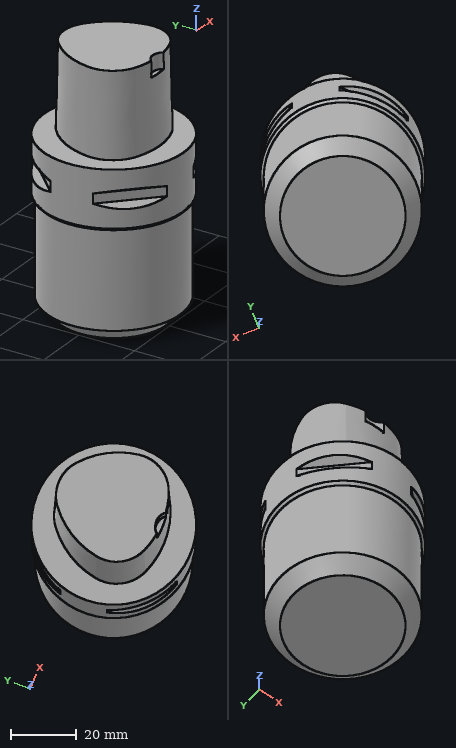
import cadquery as cq
import math

total_height = 90.0
shank_height = 30.0
flange_height = 20.0
flange_top = total_height - shank_height
flange_bottom = flange_top - flange_height

flange_radius = 50.0 / 2
body_radius = 48.0 / 2
flange_chamfer = flange_radius - body_radius
bottom_chamfer = 4.95

lobe_center_distance = 6.4
lobe_radius = 11.6
side_distance = 15.8
shank_flare = 0.585

groove_floor_distance = 22.2
groove_floor_height = 3.4
groove_wall_angle = 30.0
groove_center_z = 49.9
groove_count = 4

notch_radius = 4.5
notch_inner_distance = 13.95
notch_height = 5.6


def make_body():
    """Revolve the cylindrical body and its flange."""
    profile = [
        (0, 0),
        (body_radius - bottom_chamfer, 0),
        (body_radius, bottom_chamfer),
        (body_radius, flange_bottom - flange_chamfer),
        (flange_radius, flange_bottom),
        (flange_radius, flange_top),
        (0, flange_top),
    ]
    return cq.Workplane("XZ").polyline(profile).close().revolve(360, (0, 0), (0, 1))


def polar(distance, degrees):
    angle = math.radians(degrees)
    return cq.Vector(distance * math.cos(angle), distance * math.sin(angle))


def shank_outline(growth, z):
    """Wire of three lobes and three flatter sides, all tangent arcs, offset outwards by growth."""
    radius_gap = side_distance - lobe_radius
    side_center_distance = (lobe_center_distance**2 - radius_gap**2) / (2 * radius_gap - lobe_center_distance)
    side_radius = side_center_distance + side_distance + growth
    half_angle = math.degrees(math.atan2(
        lobe_center_distance * math.sin(math.radians(60)),
        side_center_distance + lobe_center_distance * math.cos(math.radians(60)),
    ))
    lift = cq.Vector(0, 0, z)
    edges = []
    for lobe_angle in (90, 210, 330):
        side_angle = lobe_angle + 60
        lobe_center = polar(lobe_center_distance, lobe_angle) + lift
        side_center = polar(side_center_distance, side_angle + 180) + lift
        lobe_start = lobe_center + polar(lobe_radius + growth, lobe_angle - 60 + half_angle)
        lobe_tip = lobe_center + polar(lobe_radius + growth, lobe_angle)
        side_start = side_center + polar(side_radius, side_angle - half_angle)
        side_middle = side_center + polar(side_radius, side_angle)
        side_end = side_center + polar(side_radius, side_angle + half_angle)
        edges.append(cq.Edge.makeThreePointArc(lobe_start, lobe_tip, side_start))
        edges.append(cq.Edge.makeThreePointArc(side_start, side_middle, side_end))
    return cq.Wire.assembleEdges(edges)


def make_shank():
    base = shank_outline(shank_flare, flange_top)
    top = shank_outline(0, total_height)
    return cq.Workplane(cq.Solid.makeLoft([base, top], True))


def make_notch():
    return (
        cq.Workplane("XY", origin=(0, -(notch_inner_distance + notch_radius), total_height))
        .circle(notch_radius)
        .extrude(-notch_height)
    )


def make_groove(angle):
    """Straight flat-floored groove with flared walls, facing outwards at the given angle."""
    half_floor = groove_floor_height / 2
    depth = flange_radius - groove_floor_distance
    half_mouth = half_floor + depth * math.tan(math.radians(groove_wall_angle))
    section = [
        (groove_floor_distance, groove_center_z - half_floor),
        (flange_radius, groove_center_z - half_mouth),
        (flange_radius, groove_center_z + half_mouth),
        (groove_floor_distance, groove_center_z + half_floor),
    ]
    groove = cq.Workplane("XZ").polyline(section).close().extrude(flange_radius, both=True)
    return groove.rotate((0, 0, 0), (0, 0, 1), angle)


result = make_body().union(make_shank()).cut(make_notch())
groove_spacing = 360 / groove_count
for index in range(groove_count):
    result = result.cut(make_groove((index + 0.5) * groove_spacing))